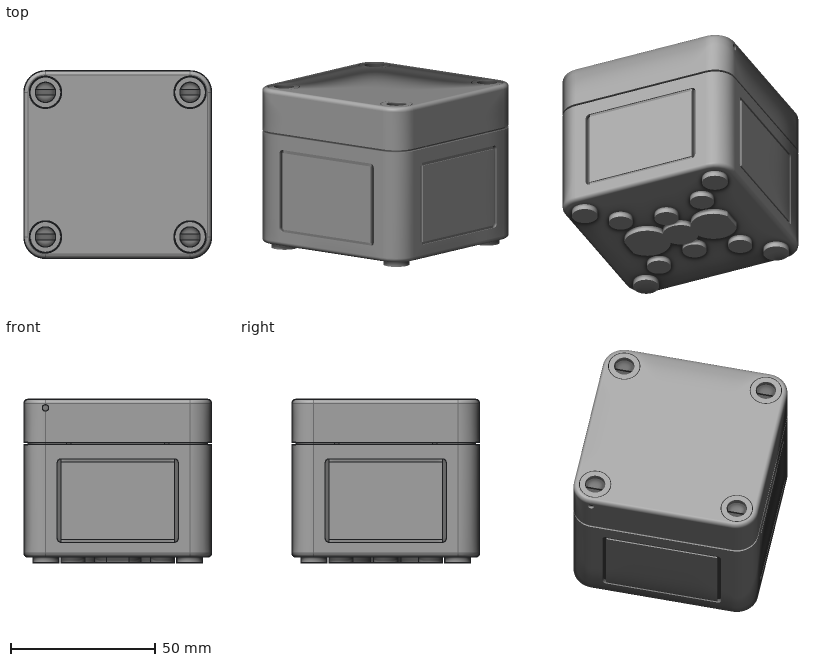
import cadquery as cq

SIDE = 65.0
HEIGHT = 56.7
CORNER_RADIUS = 7.5
EDGE_ROUND = 1.5

FOOT_HEIGHT = 2.0
RIM_BASE = 40.95
LID_BASE = 41.7

RIM_INSET = 1.35

NOTCH_WIDTH = 1.55
NOTCH_OFFSET = 16.9
NOTCH_DEPTH = 0.3

PANEL_WIDTH = 39.1
PANEL_BOTTOM = 8.05
PANEL_TOP = 35.0
GROOVE_WIDTH = 41.9
GROOVE_BOTTOM = 7.15
GROOVE_TOP = 36.1
SIDE_GROOVE_DEPTH = 1.5
END_GROOVE_DEPTH = 0.45
GROOVE_CORNER_RADIUS = (GROOVE_WIDTH - PANEL_WIDTH) / 2

CORNER_FOOT_RADIUS = 4.5
CORNER_FOOT_OFFSET = 24.9
INNER_FOOT_RADIUS = 4.15
INNER_FOOT_OFFSET = 15.55
SIDE_FOOT_OFFSET = 11.4
CENTER_FOOT_RADIUS = 6.2
FLAT_FOOT_RADIUS = 8.0
FLAT_FOOT_OFFSET = 12.7
FLAT_FOOT_FLAT_DISTANCE = 7.0

SCREW_RADIUS = 5.3
SCREW_LENGTH = 9.75
BORE_RADIUS = 5.6
SOCKET_RADIUS = 3.5
CAP_THICKNESS = 1.75
HEAD_DEPTH = 3.95
SLOT_WIDTH = 2.0
SLOT_DEPTH = 1.0

VENT_RADIUS = 1.1
VENT_DEPTH = 1.0
VENT_DROP = 3.0

CORNER_OFFSET = SIDE / 2 - CORNER_RADIUS


def square_points(offset):
    """Four points in a square pattern around the origin."""
    return [(x, y) for x in (-offset, offset) for y in (-offset, offset)]


def rounded_block(side, corner_radius, bottom, top):
    """Square block with rounded upright edges."""
    block = cq.Workplane("XY").workplane(offset=bottom).rect(side, side).extrude(top - bottom)
    return block.edges("|Z").fillet(corner_radius)


def discs(points, radius, bottom, top):
    """Upright cylinders at the given points."""
    return cq.Workplane("XY").workplane(offset=bottom).pushPoints(points).circle(radius).extrude(top - bottom)


def wall_block(width, bottom, top, depth):
    """Block sunk into the -Y wall to the given depth."""
    mouth = cq.Workplane("XZ", origin=(0, -SIDE / 2, (bottom + top) / 2))
    return mouth.rect(width, top - bottom).extrude(-depth)


def panel_groove():
    """Cutter for the groove around the panel in the -Y wall, deeper at the panel's two sides."""
    outline = wall_block(GROOVE_WIDTH, GROOVE_BOTTOM, GROOVE_TOP, SIDE_GROOVE_DEPTH)
    outline = outline.edges("|Y").fillet(GROOVE_CORNER_RADIUS)
    side_grooves = outline.cut(wall_block(PANEL_WIDTH, GROOVE_BOTTOM, GROOVE_TOP, SIDE_GROOVE_DEPTH))

    end_grooves = wall_block(PANEL_WIDTH, GROOVE_BOTTOM, GROOVE_TOP, END_GROOVE_DEPTH)
    end_grooves = end_grooves.cut(wall_block(PANEL_WIDTH, PANEL_BOTTOM, PANEL_TOP, END_GROOVE_DEPTH))
    return side_grooves.union(end_grooves)


def rim_notches():
    """Cutters for the two small notches in the -Y face of the rim."""
    points = [(-NOTCH_OFFSET, 0), (NOTCH_OFFSET, 0)]
    face = cq.Workplane("XZ", origin=(0, RIM_INSET - SIDE / 2, (RIM_BASE + LID_BASE) / 2))
    return face.pushPoints(points).rect(NOTCH_WIDTH, LID_BASE - RIM_BASE).extrude(-NOTCH_DEPTH)


def flat_foot(side):
    """Large round foot with its outer edge cut flat, on the +Y or -Y side."""
    foot = discs([(0, side * FLAT_FOOT_OFFSET)], FLAT_FOOT_RADIUS, 0, FOOT_HEIGHT)
    keep_size = 2 * FLAT_FOOT_RADIUS
    keep_center = side * (FLAT_FOOT_OFFSET + FLAT_FOOT_FLAT_DISTANCE - keep_size / 2)
    keep = cq.Workplane("XY").center(0, keep_center).rect(keep_size, keep_size).extrude(FOOT_HEIGHT)
    return foot.intersect(keep)


def make_box():
    """Box with feet, framed side panels and the rim that carries the lid."""
    box = rounded_block(SIDE, CORNER_RADIUS, FOOT_HEIGHT, RIM_BASE)
    box = box.faces("<Z").edges().fillet(EDGE_ROUND)
    rim = rounded_block(SIDE - 2 * RIM_INSET, CORNER_RADIUS - RIM_INSET, RIM_BASE, LID_BASE)
    box = box.union(rim)

    side_cuts = [panel_groove(), rim_notches()]
    for quarter in range(4):
        for cutter in side_cuts:
            box = box.cut(cutter.rotate((0, 0, 0), (0, 0, 1), 90 * quarter))

    box = box.union(discs(square_points(CORNER_FOOT_OFFSET), CORNER_FOOT_RADIUS, 0, FOOT_HEIGHT))
    box = box.union(discs(square_points(INNER_FOOT_OFFSET), INNER_FOOT_RADIUS, 0, FOOT_HEIGHT))
    side_points = [(-SIDE_FOOT_OFFSET, 0), (SIDE_FOOT_OFFSET, 0)]
    box = box.union(discs(side_points, INNER_FOOT_RADIUS, 0, FOOT_HEIGHT))
    box = box.union(discs([(0, 0)], CENTER_FOOT_RADIUS, 0, FOOT_HEIGHT))
    for side in (-1, 1):
        box = box.union(flat_foot(side))
    return box


def make_lid():
    """Lid with a rounded top edge, four screw bores and a vent hole."""
    lid = rounded_block(SIDE, CORNER_RADIUS, LID_BASE, HEIGHT)
    lid = lid.faces(">Z").edges().fillet(EDGE_ROUND)
    lid = lid.cut(discs(square_points(CORNER_OFFSET), BORE_RADIUS, HEIGHT - SCREW_LENGTH, HEIGHT))

    vent_start = cq.Workplane("XZ", origin=(-CORNER_OFFSET, -SIDE / 2, HEIGHT - VENT_DROP))
    return lid.cut(vent_start.circle(VENT_RADIUS).extrude(-VENT_DEPTH))


def slot_band(x, y, bottom, top):
    """Straight band along X, as wide as the screwdriver slot, right across a screw."""
    band = cq.Workplane("XY", origin=(x, y, bottom))
    return band.rect(2 * BORE_RADIUS, SLOT_WIDTH).extrude(top - bottom)


def make_screw(x, y):
    """Screw whose pierced cap stands on two webs above a slotted head."""
    screw = discs([(x, y)], SCREW_RADIUS, HEIGHT - SCREW_LENGTH, HEIGHT)
    head_top = HEIGHT - HEAD_DEPTH
    screw = screw.cut(discs([(x, y)], SOCKET_RADIUS, head_top, HEIGHT))

    cap_base = HEIGHT - CAP_THICKNESS
    gap = discs([(x, y)], BORE_RADIUS, head_top, cap_base)
    screw = screw.cut(gap.cut(slot_band(x, y, head_top, cap_base)))

    slot_floor = head_top - SLOT_DEPTH
    slot = discs([(x, y)], SOCKET_RADIUS, slot_floor, head_top)
    return screw.cut(slot.intersect(slot_band(x, y, slot_floor, head_top)))


box = make_box()
lid = make_lid()
screws = [make_screw(x, y) for x, y in square_points(CORNER_OFFSET)]

result = cq.Compound.makeCompound([box.val(), lid.val(), *[screw.val() for screw in screws]])